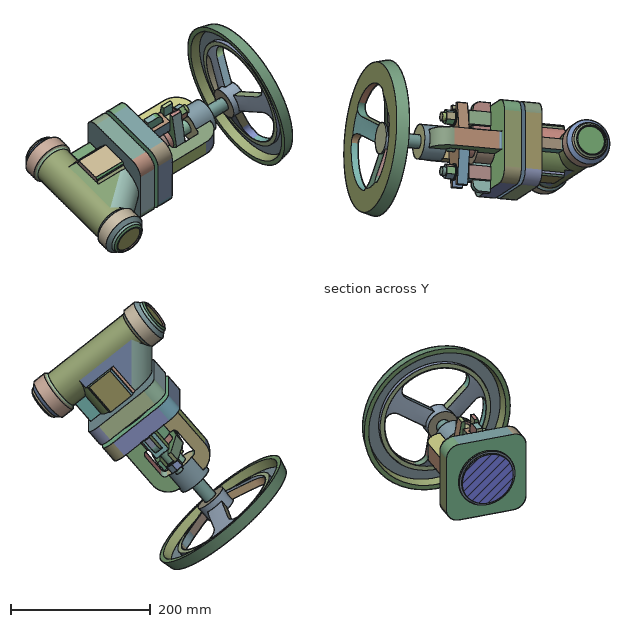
import cadquery as cq
import math


overall_length = 335

pipe_radius = 29.0
pipe_left = -95.5
pipe_right = 115.0
collar_radius = 32.8
collar_start = 12.0
collar_end = 30.8
neck_down_end = 35.5
neck_down_middle = 33.0
neck_down_middle_radius = 30.5
bevel_radius = 27.0
bevel_start = 6.0
lip_radius = 25.5
lip_start = 2.5
face_radius = 22.5
bore_radius = 20.8
bore_depth = 2.5

neck_radius = 39.0
seat_angle = 50
seat_foot_x = 71.5
pad_half_width = 22.0
pad_height = 38.2
pad_bottom_y = 13.7
pad_chamfer = 2.7
rib_half_thickness = 8.0
rib_left_x = -57
rib_foot_fillet = 3.0

flange_side = 122.5
flange_corner = 19.8
flange_thickness = 25.8
body_flange_y = 62.3
bonnet_flange_y = 94.0
bonnet_top_y = bonnet_flange_y + flange_thickness
body_flange_top_y = body_flange_y + flange_thickness
gasket_radius = 43.0
gasket_lower_radius = 39.5
gasket_step_y = 90.8

yoke_half_width = 49.0
yoke_thickness = 26.8
yoke_shoulder_y = 191.3
yoke_shoulder_radius = 29.0
yoke_foot_fillet = 2.7
window_half_width = 29.8
window_bottom_y = 146.5
window_top_y = 194.3
window_corner = 6.0
boss_radius = 25.0
boss_top_y = 228.0

follower_radius = 16.0
strap_y = 158.0
strap_thickness = 15.7
strap_half_length = 60.3
strap_half_width = 22.8
strap_end_half_width = 12.7
strap_slot_radius = 7.0
lug_half_length = 66.0
lug_thickness = 9.0
lug_corner = 10.7
bolt_z = 40.2
bolt_radius = 6.5
bolt_top_y = 193.5
clevis_bottom_y = 122.0
clevis_top_y = 155.0
clevis_width = 22.8
clevis_depth = 20
clevis_slot_width = 10.7
clevis_slot_top_y = 148.0
washer_radius = 12.0
washer_thickness = 1.7
nut_corner_diameter = 21.5
nut_height = 12.5

stem_radius = 10
wheel_radius = 112.5
wheel_top_radius = 108.2
wheel_bottom_y = 284.0
wheel_top_y = overall_length - collar_radius
wheel_web_y = 297.5
rim_inner_radius = 105.5
rim_root_radius = 102.2
ring_outer_radius = 85.0
ring_inner_radius = 77.7
ring_bottom_y = 291.5
hub_radius = 22.8
hub_bottom_y = 262.0
hub_top_y = 286.0
spoke_count = 3
spoke_half_width = 13.0
spoke_hub_y = 271.5
spoke_slope = 0.36
spoke_thickness = 12.5
spoke_hub_top_y = spoke_hub_y + spoke_thickness
spoke_fillet = 12.5


def post(radius, bottom_y, top_y, z=0):
    """Cylinder along +Y."""
    height = top_y - bottom_y
    solid = cq.Solid.makeCylinder(radius, height, cq.Vector(0, bottom_y, z), cq.Vector(0, 1, 0))
    return cq.Workplane(obj=solid)


def block(x0, x1, y0, y1, z0, z1):
    """Box given by its limits."""
    return cq.Workplane().box(x1 - x0, y1 - y0, z1 - z0, centered=False).translate((x0, y0, z0))


def plan(bottom_y):
    """Sketch plane across the stem; sketch axes are X and Z, extrusion by a negative length goes to +Y."""
    return cq.Workplane("XZ", origin=(0, bottom_y, 0))


def pipe():
    end_profile = [
        (0, face_radius), (lip_start, lip_radius), (bevel_start, bevel_radius),
        (collar_start, collar_radius), (collar_end, collar_radius),
        (neck_down_middle, neck_down_middle_radius), (neck_down_end, pipe_radius),
    ]
    left = [(pipe_left + inset, radius) for inset, radius in end_profile]
    right = [(pipe_right - inset, radius) for inset, radius in reversed(end_profile)]
    outline = [(pipe_left, 0)] + left + right + [(pipe_right, 0)]
    solid = cq.Workplane().polyline(outline).close().revolve(360, (0, 0, 0), (1, 0, 0))
    for end_x in (pipe_left, pipe_right - bore_depth):
        solid = solid.cut(cq.Workplane("YZ", origin=(end_x, 0, 0)).circle(bore_radius).extrude(bore_depth))
    return solid


def body():
    seat_tilt = math.radians(seat_angle)
    seat_top_x = seat_foot_x - body_flange_y / math.tan(seat_tilt)
    web_outline = [(0, 0), (seat_foot_x, 0), (seat_top_x, body_flange_y), (0, body_flange_y)]
    web = cq.Workplane().polyline(web_outline).close().extrude(pipe_radius, both=True)

    reach = neck_radius
    flats = block(-reach, reach, 0, pad_bottom_y, -pipe_radius, pipe_radius)
    flats = flats.union(block(-reach, reach, pad_bottom_y, body_flange_y, -pad_height, pad_height))
    neck = post(neck_radius, 0, body_flange_y).intersect(flats)

    pads = block(-pad_half_width, pad_half_width, pad_bottom_y, body_flange_y, -pad_height, pad_height)
    pads = pads.edges("|Y").chamfer(pad_chamfer)

    seat_length = body_flange_y / math.sin(seat_tilt)
    direction = cq.Vector(-math.cos(seat_tilt), math.sin(seat_tilt), 0)
    start = cq.Vector(seat_foot_x, 0, 0) - direction * seat_length
    barrel = cq.Workplane(obj=cq.Solid.makeCylinder(pipe_radius, 3 * seat_length, start, direction))
    barrel = barrel.intersect(block(-reach, pipe_right, 0, body_flange_y, -pipe_radius, pipe_radius))

    rib_foot_y = math.sqrt(pipe_radius**2 - rib_half_thickness**2)
    rib = (
        cq.Workplane()
        .moveTo(0, 0)
        .lineTo(0, body_flange_y)
        .lineTo(rib_left_x, body_flange_y)
        .lineTo(rib_left_x, rib_foot_y + rib_foot_fillet)
        .radiusArc((rib_left_x - rib_foot_fillet, rib_foot_y), rib_foot_fillet)
        .lineTo(rib_left_x - rib_foot_fillet, 0)
        .close()
        .extrude(rib_half_thickness, both=True)
    )
    return web.union(neck).union(pads).union(barrel).union(rib)


def flange(bottom_y):
    plate = plan(bottom_y).rect(flange_side, flange_side).extrude(-flange_thickness)
    return plate.edges("|Y").fillet(flange_corner)


def gasket():
    upper = post(gasket_radius, gasket_step_y, bonnet_flange_y)
    return upper.union(post(gasket_lower_radius, body_flange_top_y, gasket_step_y))


def yoke():
    shoulder_x = yoke_half_width - yoke_shoulder_radius
    shoulder_top_y = yoke_shoulder_y + yoke_shoulder_radius
    foot_x = yoke_half_width + yoke_foot_fillet
    foot_top_y = bonnet_top_y + yoke_foot_fillet
    frame = (
        cq.Workplane()
        .moveTo(-foot_x, bonnet_top_y)
        .radiusArc((-yoke_half_width, foot_top_y), -yoke_foot_fillet)
        .lineTo(-yoke_half_width, yoke_shoulder_y)
        .radiusArc((-shoulder_x, shoulder_top_y), yoke_shoulder_radius)
        .lineTo(shoulder_x, shoulder_top_y)
        .radiusArc((yoke_half_width, yoke_shoulder_y), yoke_shoulder_radius)
        .lineTo(yoke_half_width, foot_top_y)
        .radiusArc((foot_x, bonnet_top_y), -yoke_foot_fillet)
        .close()
        .extrude(yoke_thickness / 2, both=True)
    )
    window = block(
        -window_half_width, window_half_width, window_bottom_y, window_top_y, -yoke_thickness, yoke_thickness
    )
    frame = frame.cut(window.edges("|Z").fillet(window_corner))
    frame = frame.union(post(boss_radius, window_top_y, boss_top_y))
    return frame.union(post(boss_radius, bonnet_top_y, window_bottom_y))


def gland_strap():
    half_outline = [(strap_half_width, 0), (strap_end_half_width, strap_half_length)]
    outline = (
        half_outline
        + [(-x, z) for x, z in reversed(half_outline)]
        + [(-strap_end_half_width, -strap_half_length), (strap_end_half_width, -strap_half_length)]
    )
    strap = plan(strap_y).polyline(outline).close().extrude(-strap_thickness)

    strap_top_y = strap_y + strap_thickness
    for side in (-1, 1):
        inner_z, outer_z = sorted((side * bolt_z, side * strap_half_length))
        slot = block(-strap_slot_radius, strap_slot_radius, strap_y, strap_top_y, inner_z, outer_z)
        strap = strap.cut(slot.union(post(strap_slot_radius, strap_y, strap_top_y, side * bolt_z)))
    return strap.union(post(follower_radius, window_bottom_y, strap_y))


def bolt_lug():
    half_thickness = lug_thickness / 2
    lug = block(
        -half_thickness, half_thickness, bonnet_top_y, window_bottom_y, -lug_half_length, lug_half_length
    )
    return lug.edges("|X and >Y").fillet(lug_corner)


def eye_bolt(z):
    half_depth = clevis_depth / 2
    clevis = block(
        -clevis_width / 2, clevis_width / 2, clevis_bottom_y, clevis_top_y, z - half_depth, z + half_depth
    )
    slot = block(
        -clevis_slot_width / 2, clevis_slot_width / 2, clevis_bottom_y, clevis_slot_top_y,
        z - half_depth, z + half_depth,
    )
    washer_y = strap_y + strap_thickness
    nut_y = washer_y + washer_thickness
    nut = plan(nut_y).center(0, z).polygon(6, nut_corner_diameter).extrude(-nut_height)
    nut = nut.rotate((0, 0, z), (0, 1, z), 90)
    bolt = clevis.cut(slot).union(post(bolt_radius, clevis_top_y, bolt_top_y, z))
    return bolt.union(post(washer_radius, washer_y, nut_y, z)).union(nut)


def handwheel():
    rim_outline = [
        (ring_inner_radius, ring_bottom_y), (ring_outer_radius, ring_bottom_y),
        (ring_outer_radius, wheel_web_y), (rim_root_radius, wheel_web_y),
        (rim_inner_radius, wheel_bottom_y), (wheel_radius, wheel_bottom_y),
        (wheel_top_radius, wheel_top_y), (ring_inner_radius, wheel_top_y),
    ]
    wheel = cq.Workplane().polyline(rim_outline).close().revolve(360, (0, 0, 0), (0, 1, 0))

    tip_y = spoke_hub_y + spoke_slope * (ring_outer_radius - hub_radius)
    level_radius = hub_radius + (wheel_top_y - spoke_hub_top_y) / spoke_slope
    dish_outline = [
        (0, spoke_hub_y), (hub_radius, spoke_hub_y), (ring_outer_radius, tip_y),
        (ring_outer_radius, wheel_top_y), (level_radius, wheel_top_y),
        (hub_radius, spoke_hub_top_y), (0, spoke_hub_top_y),
    ]
    dish = cq.Workplane().polyline(dish_outline).close().revolve(360, (0, 0, 0), (0, 1, 0))

    openings = post(ring_inner_radius, hub_bottom_y, wheel_top_y)
    for index in range(spoke_count):
        spoke = block(0, wheel_radius, hub_bottom_y, wheel_top_y, -spoke_half_width, spoke_half_width)
        openings = openings.cut(spoke.rotate((0, 0, 0), (0, 1, 0), 90 + index * 360 / spoke_count))
    rim_corners = openings.edges("|Y").filter(
        lambda edge: math.hypot(edge.Center().x, edge.Center().z) > ring_inner_radius - spoke_half_width
    )
    openings = rim_corners.fillet(spoke_fillet)
    return wheel.union(dish.cut(openings)).union(post(hub_radius, hub_bottom_y, hub_top_y))


stem = post(stem_radius, window_bottom_y, hub_top_y)

result = pipe().union(body()).union(flange(body_flange_y)).union(gasket()).union(flange(bonnet_flange_y))
result = result.union(yoke()).union(gland_strap()).union(bolt_lug())
for side in (-1, 1):
    result = result.union(eye_bolt(side * bolt_z))
result = result.union(stem).union(handwheel())